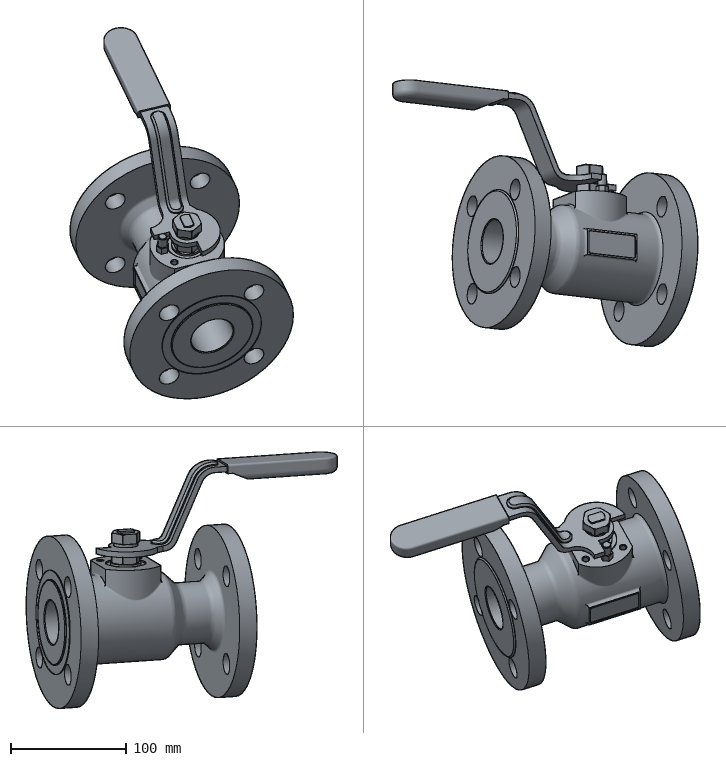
import cadquery as cq
import math


flange_dia = 150.0
flange_thickness = 16.0
left_flange_x = -95.0
right_flange_x = 50.0
bolt_circle_dia = 110.0
bolt_hole_dia = 18.0
bolt_count = 4
raised_face_dia = 90.8
raised_face_chamfer = 1.3
left_raised_height = 1.5
right_raised_height = 0.8
insert_dia = 75.0
insert_height = 1.3
insert_chamfer = 0.8

body_dia = 77.5
neck_dia = 54.0
bore_dia = 38.4
bore_chamfer = 0.8
cone_left_x = -45.2
cone_slope_deg = 42.5
flange_cone_end_x = -71.0
cone_blend_radius = 5.0
flange_blend_radius = 4.0
flare_length = 3.7
flare_rise = 2.0

boss_dia = 64.7
boss_width = 50.6
boss_top_z = 48.3
boss_blend = 1.3
boss_recess_dia = 35.0
boss_recess_depth = 1.3
boss_hole_circle_dia = 49.5
boss_hole_angles = (-45, -135)
boss_hole_dia = 5.0
boss_hole_mouth_dia = 6.5
boss_hole_depth = 7.8

name_plate_length = 48.8
name_plate_height = 23.0
name_plate_z = -0.3
name_plate_y = -40.7
name_plate_foot = 1.5
name_plate_rim = 1.5
name_plate_recess = 1.0
name_plate_base_y = -31.3

strip_thickness = 5.0
strip_width = 25.5
lower_strip_z = 59.0
upper_strip_z = 125.5
strip_slope_deg = 65.5
strip_bend_x = -30.0
strip_end_x = -172.3
tight_bend_radius = 8.5
upper_bend_radius = 13
rib_height = 3.0
rib_width = 13
rib_chamfer = 1.8

disc_radius = 28.7
disc_notch_edge_y = 4.2
disc_notch_edge_x = -4.2
disc_notch_radius = 14.75
disc_shoulder_x = -23.2
relief_radius = disc_radius - strip_width / 2

grip_left_x = -193.0
grip_right_x = -88.5
grip_width = 29.5
grip_top_z = 132.0
grip_lip_z = 124.2
grip_bottom_z = 117.2
grip_slope_start_x = -93.5
grip_slope_end_x = -109.0
grip_slope_blend = 5.2
grip_top_fillet = 1.8
grip_bottom_fillet = 5.5

hex_flats = 22.5
hex_round_dia = 25.5
hex_chamfer = 0.8
gland_washer_dia = 27.0
gland_washer_top_z = 49.0
collar_dia = 21.1
top_nut_bottom_z = 66.8
top_nut_top_z = 75.7
stem_dia = 15.0
stem_flats = 9.0
stem_top_z = 77.3

pin_y = -22.5
pin_dia = 7.8
pin_chamfer = 0.65
pin_top_z = 65.0
pin_hex_flats = 9.5
pin_hex_top_z = 54.8

seam_margin = 0.3

body_radius = body_dia / 2
neck_radius = neck_dia / 2
cone_slope = math.tan(math.radians(cone_slope_deg))
left_flange_inner_x = left_flange_x + flange_thickness
right_flange_outer_x = right_flange_x + flange_thickness
left_face_x = left_flange_x - left_raised_height
right_raised_x = right_flange_outer_x + right_raised_height
right_face_x = right_raised_x + insert_height

slope = math.radians(strip_slope_deg)
lower_centre_z = lower_strip_z + strip_thickness + tight_bend_radius
upper_centre_z = upper_strip_z - upper_bend_radius
bend_radii = tight_bend_radius + strip_thickness + upper_bend_radius
slope_rise = upper_centre_z - lower_centre_z + bend_radii * math.cos(slope)
upper_bend_x = strip_bend_x - bend_radii * math.sin(slope) - slope_rise / math.tan(slope)


def disc_x(diameter, x_start, x_end):
    """Solid cylinder along X."""
    return cq.Workplane("YZ", origin=(x_start, 0, 0)).circle(diameter / 2).extrude(x_end - x_start)


def disc_z(diameter, z_start, z_end):
    """Solid cylinder on the stem axis."""
    return cq.Workplane("XY", origin=(0, 0, z_start)).circle(diameter / 2).extrude(z_end - z_start)


def hexagon(across_flats, z_start, z_end):
    """Hexagonal prism on the stem axis with two corners on X."""
    across_corners = across_flats / math.cos(math.pi / 6)
    return cq.Workplane("XY", origin=(0, 0, z_start)).polygon(6, across_corners).extrude(z_end - z_start)


def make_tube():
    """Flanges and tubular body turned around X, with blended cones."""
    cone_right_x = cone_left_x + (body_radius - neck_radius) / cone_slope
    flange_cone_radius = neck_radius + (flange_cone_end_x - left_flange_inner_x) * cone_slope
    flare_start_x = right_flange_x - flare_length
    flare_radius = (flare_length**2 + flare_rise**2) / (2 * flare_rise)
    half_angle = math.asin(flare_length / flare_radius) / 2
    flare_mid = (
        flare_start_x + flare_radius * math.sin(half_angle),
        body_radius + flare_radius * (1 - math.cos(half_angle)),
    )
    tube = (
        cq.Workplane("XY")
        .moveTo(left_flange_x, 0)
        .lineTo(left_flange_x, flange_dia / 2)
        .lineTo(left_flange_inner_x, flange_dia / 2)
        .lineTo(left_flange_inner_x, flange_cone_radius)
        .lineTo(flange_cone_end_x, neck_radius)
        .lineTo(cone_left_x, neck_radius)
        .lineTo(cone_right_x, body_radius)
        .lineTo(flare_start_x, body_radius)
        .threePointArc(flare_mid, (right_flange_x, body_radius + flare_rise))
        .lineTo(right_flange_x, flange_dia / 2)
        .lineTo(right_flange_outer_x, flange_dia / 2)
        .lineTo(right_flange_outer_x, 0)
        .close()
        .revolve(360, (0, 0, 0), (1, 0, 0))
    )

    def ring_edges(x):
        reach = flange_dia / 2
        return cq.selectors.BoxSelector(
            (x - seam_margin, -reach, -reach), (x + seam_margin, reach, reach)
        )

    for x in (flange_cone_end_x, cone_left_x, cone_right_x):
        tube = tube.edges(ring_edges(x)).fillet(cone_blend_radius)
    flange_seam = tube.edges(ring_edges(left_flange_inner_x)).edges(cq.selectors.RadiusNthSelector(0))
    return flange_seam.fillet(flange_blend_radius)


def make_sealing_faces():
    left = disc_x(raised_face_dia, left_face_x, left_flange_x).faces("<X").chamfer(raised_face_chamfer)
    right = disc_x(raised_face_dia, right_flange_outer_x, right_raised_x)
    insert = disc_x(insert_dia, right_raised_x, right_face_x).faces(">X").chamfer(insert_chamfer)
    return left.union(right).union(insert)


def make_bolt_holes(flange_x):
    """Bolt holes through the flange that starts at the given X, straddling the vertical."""
    return (
        cq.Workplane("YZ", origin=(flange_x, 0, 0))
        .polarArray(bolt_circle_dia / 2, 45, 360, bolt_count)
        .circle(bolt_hole_dia / 2)
        .extrude(flange_thickness)
    )


def make_bore():
    mouth_dia = bore_dia + 2 * bore_chamfer
    bore = disc_x(bore_dia, left_face_x, right_face_x)
    for x, inward in ((left_face_x, 1), (right_face_x, -1)):
        mouth = cq.Solid.makeCone(
            mouth_dia / 2, bore_dia / 2, bore_chamfer, pnt=cq.Vector(x, 0, 0), dir=cq.Vector(inward, 0, 0)
        )
        bore = bore.union(cq.Workplane(obj=mouth))
    return bore


def make_boss():
    """Round boss with two flat sides, starting inside the body."""
    boss = disc_z(boss_dia, 0, boss_top_z)
    return boss.intersect(cq.Workplane("XY").box(boss_width, boss_dia, 2 * boss_top_z))


def blend_boss(body):
    """Round the seam where the boss leaves the body."""
    half_width = boss_width / 2 + seam_margin
    half_depth = boss_dia / 2 + seam_margin
    seam = cq.selectors.BoxSelector(
        (-half_width, -half_depth, neck_radius / 2),
        (half_width, half_depth, body_radius + seam_margin),
    )
    return body.edges(seam).fillet(boss_blend)


def make_boss_cuts():
    """Shallow recess around the stem and two countersunk holes on the front half of the boss."""
    cuts = disc_z(boss_recess_dia, boss_top_z - boss_recess_depth, boss_top_z)
    mouth_depth = (boss_hole_mouth_dia - boss_hole_dia) / 2
    for angle in boss_hole_angles:
        x = boss_hole_circle_dia / 2 * math.cos(math.radians(angle))
        y = boss_hole_circle_dia / 2 * math.sin(math.radians(angle))
        hole = disc_z(boss_hole_dia, boss_top_z - boss_hole_depth, boss_top_z)
        mouth = cq.Solid.makeCone(
            boss_hole_mouth_dia / 2,
            boss_hole_dia / 2,
            mouth_depth,
            pnt=cq.Vector(0, 0, boss_top_z),
            dir=cq.Vector(0, 0, -1),
        )
        cuts = cuts.union(hole.union(cq.Workplane(obj=mouth)).translate((x, y, 0)))
    return cuts


def make_name_plate():
    """Rectangular pad reaching into the body wall."""
    return (
        cq.Workplane("XZ", origin=(0, name_plate_y, name_plate_z))
        .rect(name_plate_length, name_plate_height)
        .extrude(name_plate_y - name_plate_base_y)
    )


def blend_name_plate(body):
    """Round the seam where the name plate leaves the body."""
    half_length = name_plate_length / 2 + seam_margin
    half_height = name_plate_height / 2 + abs(name_plate_z) + seam_margin
    seam = cq.selectors.BoxSelector(
        (-half_length, -body_radius - seam_margin, -half_height),
        (half_length, name_plate_base_y, half_height),
    )
    return body.edges(seam).edges("not |Y").fillet(name_plate_foot)


def make_name_panel():
    """Shallow recess in the face of the name plate."""
    panel = (
        cq.Workplane("XZ", origin=(0, name_plate_y, name_plate_z))
        .rect(name_plate_length - 2 * name_plate_rim, name_plate_height - 2 * name_plate_rim)
        .extrude(-name_plate_recess)
    )
    return panel.edges("|Y").fillet(name_plate_rim)


def make_strip(width, offset, thickness, x_left, x_right):
    """Bent strip lying a given offset above the handle's lower surface."""

    def bend_points(height):
        """Start, middle and end of both bends, from the upper left to the lower right."""
        lower_radius = tight_bend_radius + strip_thickness - height
        upper_radius = upper_bend_radius + height

        def upper(angle):
            return (
                upper_bend_x + upper_radius * math.sin(angle),
                upper_centre_z + upper_radius * math.cos(angle),
            )

        def lower(angle):
            return (
                strip_bend_x - lower_radius * math.sin(angle),
                lower_centre_z - lower_radius * math.cos(angle),
            )

        angles = (0, slope / 2, slope)
        return [upper(a) for a in angles], [lower(a) for a in reversed(angles)]

    bottom_upper, bottom_lower = bend_points(offset)
    top_upper, top_lower = bend_points(offset + thickness)
    return (
        cq.Workplane("XZ", origin=(0, width / 2, 0))
        .moveTo(x_left, bottom_upper[0][1])
        .lineTo(*bottom_upper[0])
        .threePointArc(*bottom_upper[1:])
        .lineTo(*bottom_lower[0])
        .threePointArc(*bottom_lower[1:])
        .lineTo(x_right, bottom_lower[2][1])
        .lineTo(x_right, top_lower[2][1])
        .lineTo(*top_lower[2])
        .threePointArc(top_lower[1], top_lower[0])
        .lineTo(*top_upper[2])
        .threePointArc(top_upper[1], top_upper[0])
        .lineTo(x_left, top_upper[0][1])
        .close()
        .extrude(width)
    )


def make_rib():
    """Raised rib with round ends at the bend starts and a chamfer all around its top."""
    half_width = rib_width / 2
    left_x = upper_bend_x - half_width
    right_x = strip_bend_x + half_width
    rib = make_strip(rib_width, strip_thickness / 2, strip_thickness / 2 + rib_height, left_x, right_x)
    outline = (
        cq.Workplane("XY")
        .center((upper_bend_x + strip_bend_x) / 2, 0)
        .slot2D(right_x - left_x, rib_width)
        .extrude(grip_top_z + rib_height)
    )
    return rib.intersect(outline).faces(">Z").edges("<X").chamfer(rib_chamfer)


def make_handle_disc():
    """Flat disc around the stem with the stop notch and the round relief beside the strip."""
    half_width = strip_width / 2
    shoulder_y = math.sqrt(disc_radius**2 - disc_shoulder_x**2)
    notch_tip_x = math.sqrt(disc_radius**2 - disc_notch_edge_y**2)
    diagonal = math.sqrt(0.5)
    relief_x = strip_bend_x + relief_radius
    return (
        cq.Workplane("XY", origin=(0, 0, lower_strip_z))
        .moveTo(strip_bend_x, half_width)
        .lineTo(disc_shoulder_x, shoulder_y)
        .threePointArc((0, disc_radius), (notch_tip_x, disc_notch_edge_y))
        .lineTo(disc_notch_radius, disc_notch_edge_y)
        .lineTo(disc_notch_radius, 0)
        .threePointArc(
            (disc_notch_radius * diagonal, -disc_notch_radius * diagonal), (0, -disc_notch_radius)
        )
        .lineTo(disc_notch_edge_x, -disc_notch_radius)
        .lineTo(disc_notch_edge_x, -disc_radius)
        .lineTo(relief_x, -disc_radius)
        .threePointArc(
            (strip_bend_x + relief_radius * diagonal, -disc_radius + relief_radius * diagonal),
            (strip_bend_x, -half_width),
        )
        .close()
        .extrude(strip_thickness)
    )


def make_grip():
    """Grip sleeve with a round end, rounded edges and a sloping underside near the strip."""
    half_width = grip_width / 2
    round_x = grip_left_x + half_width
    grip = (
        cq.Workplane("XY", origin=(0, 0, grip_bottom_z))
        .moveTo(grip_right_x, half_width)
        .lineTo(round_x, half_width)
        .threePointArc((grip_left_x, 0), (round_x, -half_width))
        .lineTo(grip_right_x, -half_width)
        .close()
        .extrude(grip_top_z - grip_bottom_z)
    )
    grip = grip.faces("<Z").edges("not >X").fillet(grip_bottom_fillet)
    grip = grip.faces(">Z").edges("not >X").fillet(grip_top_fillet)
    side = (
        cq.Workplane("XZ", origin=(0, half_width, 0))
        .moveTo(grip_left_x, grip_top_z)
        .lineTo(grip_right_x, grip_top_z)
        .lineTo(grip_right_x, grip_lip_z)
        .lineTo(grip_slope_start_x, grip_lip_z)
        .lineTo(grip_slope_end_x, grip_bottom_z)
        .lineTo(grip_left_x, grip_bottom_z)
        .close()
        .extrude(grip_width)
    )
    slope_end = cq.selectors.NearestToPointSelector((grip_slope_end_x, 0, grip_bottom_z))
    return grip.intersect(side.edges(slope_end).fillet(grip_slope_blend))


def make_stem_stack():
    """Gland nut, collar, top nut and the flattened stem end."""
    washer = disc_z(gland_washer_dia, boss_top_z - boss_recess_depth, gland_washer_top_z)
    gland_round = disc_z(hex_round_dia, gland_washer_top_z, lower_strip_z).faces("<Z").chamfer(hex_chamfer)
    gland = hexagon(hex_flats, gland_washer_top_z, lower_strip_z).intersect(gland_round)
    collar = disc_z(collar_dia, lower_strip_z, top_nut_bottom_z)
    nut_round = disc_z(hex_round_dia, top_nut_bottom_z, top_nut_top_z).faces(">Z").chamfer(hex_chamfer)
    nut = hexagon(hex_flats, top_nut_bottom_z, top_nut_top_z).intersect(nut_round)
    flats = cq.Workplane("XY").box(stem_dia, stem_flats, 2 * stem_top_z)
    stem = disc_z(stem_dia, top_nut_bottom_z, stem_top_z).intersect(flats)
    return washer.union(gland).union(collar).union(nut).union(stem)


def make_stop_pin():
    head = hexagon(pin_hex_flats, boss_top_z, pin_hex_top_z).rotate((0, 0, 0), (0, 0, 1), 30)
    pin = disc_z(pin_dia, boss_top_z, pin_top_z).faces(">Z").chamfer(pin_chamfer)
    return head.union(pin).translate((0, pin_y, 0))


body = blend_boss(make_tube().union(make_boss()))
body = blend_name_plate(body.union(make_name_plate())).cut(make_name_panel())
body = body.union(make_sealing_faces())
body = body.cut(make_bore()).cut(make_boss_cuts())
for flange_x in (left_flange_x, right_flange_x):
    body = body.cut(make_bolt_holes(flange_x))

handle = make_strip(strip_width, 0, strip_thickness, strip_end_x, disc_shoulder_x)
handle = handle.union(make_handle_disc()).union(make_rib()).union(make_grip())

result = body.union(make_stem_stack()).union(make_stop_pin()).union(handle)